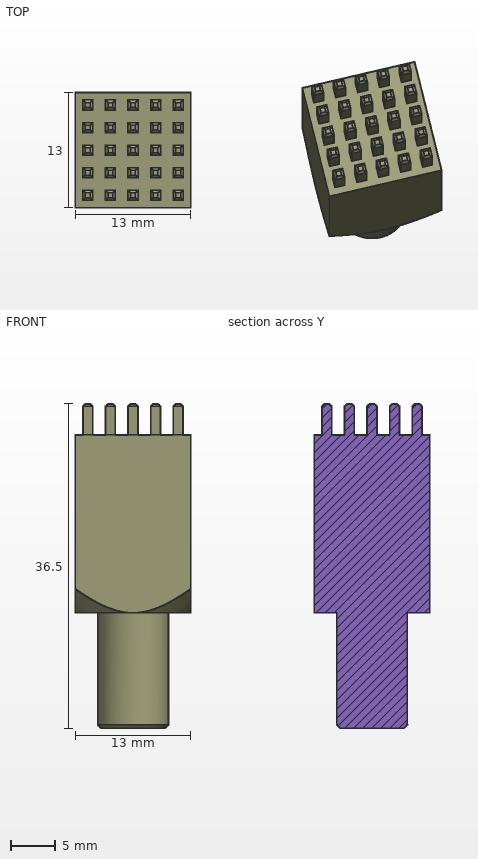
import cadquery as cq

total_height = 36.5
body_side = 13.0
body_height = 20.0
shank_height = 13.0
pin_height = total_height - shank_height - body_height

shank_diameter = 8.0
shank_chamfer = 0.4

pins_per_side = 5
pin_row_span = 10.15
pin_pitch = pin_row_span / (pins_per_side - 1)
pin_side = 1.13
pin_chamfer = 0.3


def make_shank():
    """Round shank with a chamfered lower end."""
    return (
        cq.Workplane("XY")
        .circle(shank_diameter / 2)
        .extrude(shank_height)
        .faces("<Z")
        .chamfer(shank_chamfer)
    )


def make_body():
    """Square block whose lower corners are turned off by a 45-degree cone."""
    block = (
        cq.Workplane("XY")
        .workplane(offset=shank_height)
        .rect(body_side, body_side)
        .extrude(body_height)
    )
    inner_radius = body_side / 2
    outer_radius = body_side
    cone_rise = outer_radius - inner_radius
    envelope = (
        cq.Workplane("XZ")
        .moveTo(0, shank_height)
        .lineTo(inner_radius, shank_height)
        .lineTo(outer_radius, shank_height + cone_rise)
        .lineTo(outer_radius, shank_height + body_height)
        .lineTo(0, shank_height + body_height)
        .close()
        .revolve(360, (0, 0, 0), (0, 1, 0))
    )
    return block.intersect(envelope)


def make_pins():
    """Grid of square pins with all four top edges chamfered."""
    return (
        cq.Workplane("XY")
        .workplane(offset=shank_height + body_height)
        .rarray(pin_pitch, pin_pitch, pins_per_side, pins_per_side)
        .rect(pin_side, pin_side)
        .extrude(pin_height)
        .faces(">Z")
        .chamfer(pin_chamfer)
    )


result = make_shank().union(make_body()).union(make_pins())